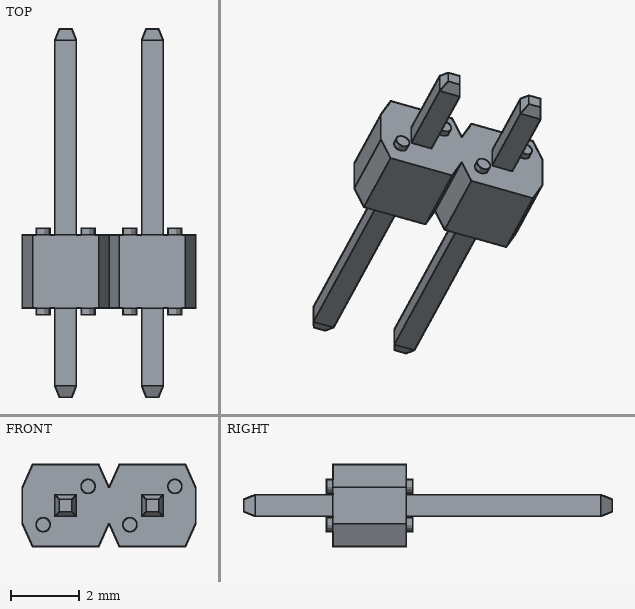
import cadquery as cq

way_count = 2
overall_width = 5.08
pitch = overall_width / way_count

housing_height = 2.41
housing_depth = 2.15
side_flat_height = 1.06
corner_width = 0.3

pin_length = 10.79
pin_size = 0.64
pin_tip_size = 0.37
pin_tip_length = 0.33
pin_front_reach = 2.61

peg_diameter = 0.41
peg_height = 0.19
peg_offset_x = 0.66
peg_offset_z = 0.56

housing_front = -housing_depth / 2
pin_front = housing_front - pin_front_reach
pin_back = pin_front + pin_length
way_centers = [(i - (way_count - 1) / 2) * pitch for i in range(way_count)]


def plane_at(x, y):
    """Plane facing +Y, with local axes along +Z and +X."""
    return cq.Plane(origin=(x, y, 0), xDir=(0, 0, 1), normal=(0, 1, 0))


def housing_block(x):
    """Octagonal block for one way; neighbours share a side flat, leaving V notches."""
    half_width = pitch / 2
    half_flat = half_width - corner_width
    half_height = housing_height / 2
    half_side = side_flat_height / 2
    outline = [
        (half_height, -half_flat),
        (half_height, half_flat),
        (half_side, half_width),
        (-half_side, half_width),
        (-half_height, half_flat),
        (-half_height, -half_flat),
        (-half_side, -half_width),
        (half_side, -half_width),
    ]
    return cq.Workplane(plane_at(x, housing_front)).polyline(outline).close().extrude(housing_depth)


def tapered_end(x, y, start_size, end_size):
    """Pyramid frustum running one tip length in +Y from y."""
    return (
        cq.Workplane(plane_at(x, y))
        .rect(start_size, start_size)
        .workplane(offset=pin_tip_length)
        .rect(end_size, end_size)
        .loft(ruled=True)
    )


def pin(x):
    """Square pin with both ends tapered."""
    shank_start = pin_front + pin_tip_length
    shank_end = pin_back - pin_tip_length
    shank = (
        cq.Workplane(plane_at(x, shank_start))
        .rect(pin_size, pin_size)
        .extrude(shank_end - shank_start)
    )
    front_tip = tapered_end(x, pin_front, pin_tip_size, pin_size)
    back_tip = tapered_end(x, shank_end, pin_size, pin_tip_size)
    return shank.union(front_tip).union(back_tip)


def pegs(x):
    """Two diagonal round pegs passing through the housing and standing proud of both faces."""
    return (
        cq.Workplane(plane_at(x, housing_front - peg_height))
        .pushPoints([(peg_offset_z, peg_offset_x), (-peg_offset_z, -peg_offset_x)])
        .circle(peg_diameter / 2)
        .extrude(housing_depth + 2 * peg_height)
    )


result = cq.Workplane("XY")
for center in way_centers:
    result = result.union(housing_block(center))
for center in way_centers:
    result = result.union(pin(center)).union(pegs(center))
result = result.clean()